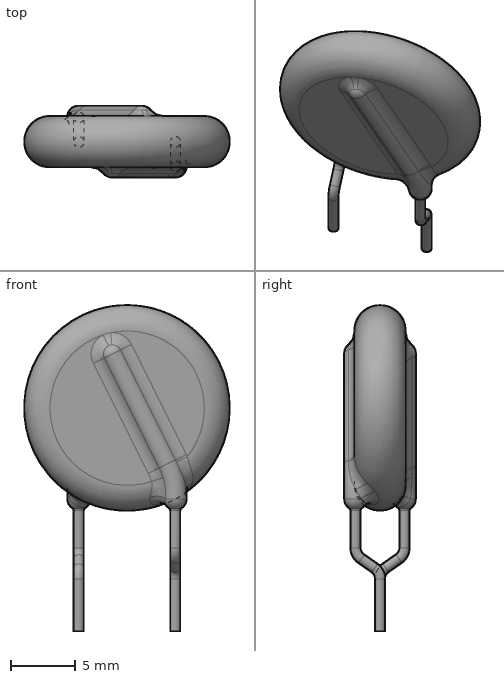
import cadquery as cq
import math

disc_radius = 8.0
disc_thickness = 4.0
rim_radius = disc_thickness / 2
flat_radius = disc_radius - rim_radius

overall_height = 25.35
overall_depth = 5.6
wire_radius = 0.4
lead_x = 3.75
lead_y = 1.9
lead_bottom_z = disc_radius - overall_height
crimp_top_z = -11.4
crimp_bottom_z = -12.73
crimp_bend_radius = 1.01

ridge_radius = overall_depth / 2 - lead_y
ridge_top_z = 4.2
ridge_bottom_z = -7.05
ridge_tilt = math.radians(26.5)
ridge_bend_radius = 6.09
ridge_blend_radius = 1.22
collar_blend_radius = 0.2


def make_disc():
    profile = (
        cq.Workplane("XY")
        .moveTo(0, -rim_radius)
        .lineTo(flat_radius, -rim_radius)
        .threePointArc((disc_radius, 0), (flat_radius, rim_radius))
        .lineTo(0, rim_radius)
        .close()
    )
    return profile.revolve(360, (0, 0, 0), (0, 1, 0))


def make_ridge():
    """Round bar: slanted straight stretch, bend to vertical, ball at both ends."""
    bend_centre_x = lead_x - ridge_bend_radius

    def bend_point(angle):
        x = bend_centre_x + ridge_bend_radius * math.cos(angle)
        z = ridge_bottom_z + ridge_bend_radius * math.sin(angle)
        return (x, z)

    bend_start = bend_point(ridge_tilt)
    top_x = bend_start[0] - (ridge_top_z - bend_start[1]) * math.tan(ridge_tilt)
    path = (
        cq.Workplane("XZ", origin=(0, -lead_y, 0))
        .moveTo(lead_x, ridge_bottom_z)
        .threePointArc(bend_point(ridge_tilt / 2), bend_start)
        .lineTo(top_x, ridge_top_z)
    )
    section = cq.Workplane("XY", origin=(lead_x, -lead_y, ridge_bottom_z)).circle(ridge_radius)
    ridge = section.sweep(path)
    for x, z in ((lead_x, ridge_bottom_z), (top_x, ridge_top_z)):
        ridge = ridge.union(cq.Workplane("XY").sphere(ridge_radius).translate((x, -lead_y, z)))
    return ridge


def make_wire():
    """Round wire that starts inside the ridge and is crimped to the mid-plane."""
    crimp_angle = math.atan2(lead_y, crimp_top_z - crimp_bottom_z)
    bend_trim = crimp_bend_radius * math.tan(crimp_angle / 2)
    trim_y = bend_trim * math.sin(crimp_angle)
    trim_z = bend_trim * math.cos(crimp_angle)
    path = (
        cq.Workplane("YZ", origin=(lead_x, 0, 0))
        .moveTo(-lead_y, ridge_bottom_z)
        .lineTo(-lead_y, crimp_top_z + bend_trim)
        .tangentArcPoint((-lead_y + trim_y, crimp_top_z - trim_z), relative=False)
        .lineTo(-trim_y, crimp_bottom_z + trim_z)
        .tangentArcPoint((0, crimp_bottom_z - bend_trim), relative=False)
        .lineTo(0, lead_bottom_z)
    )
    section = cq.Workplane("XY", origin=(lead_x, -lead_y, ridge_bottom_z)).circle(wire_radius)
    return section.sweep(path)


def half_turn(shape):
    return shape.rotate((0, 0, 0), (0, 0, 1), 180)


def shared_edges(body, first, second):
    """Edges of the joined body that lie on the surface of both original shapes."""
    first_shell = first.val().Shells()[0]
    second_shell = second.val().Shells()[0]
    tolerance = 0.0003

    def is_shared(edge):
        middle = cq.Vertex.makeVertex(*edge.positionAt(0.5).toTuple())
        return middle.distance(first_shell) < tolerance and middle.distance(second_shell) < tolerance

    return body.edges().filter(is_shared)


disc = make_disc()
ridge = make_ridge()
wire = make_wire()

body = disc
for coating in (ridge, half_turn(ridge)):
    joined = body.union(coating)
    body = shared_edges(joined, disc, coating).fillet(ridge_blend_radius)

for coating, lead in ((ridge, wire), (half_turn(ridge), half_turn(wire))):
    joined = body.union(lead)
    body = shared_edges(joined, coating, lead).fillet(collar_blend_radius)

result = body